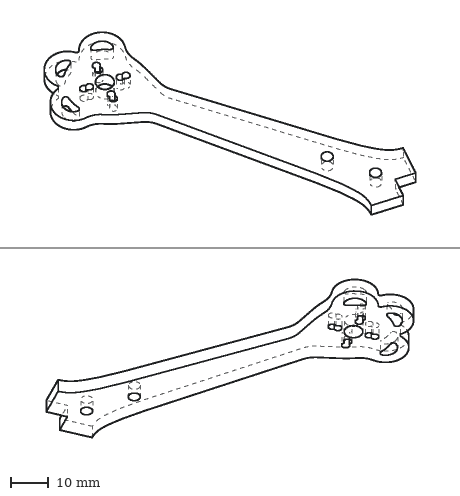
import cadquery as cq
import math

overall_length = 81.5
thickness = 4.0

lobe_radius = 6.2
lobe_distance = 10.75
rear_angle = 225
lobe_spacing = 63
lobe_angles = [rear_angle - lobe_spacing, rear_angle, rear_angle + lobe_spacing]
lobe_notch_radius = 0.65

window_radius = 3.2
window_inner_radius = 11.1
window_corner_radius = 0.8

shaft_diameter = 5.0
screw_diameter = 2.1
screw_distances = [4.4, 6.0]
screw_angles = [0, 90, 180, 270]

lobe_reach = lobe_radius - lobe_distance * math.cos(math.radians(lobe_angles[0]))
tip_reach = overall_length - lobe_reach
tip_inner = 50.0
tip_notch = 59.1
mount_hole_diameter = 3.2
mount_hole_places = [45.3, 55.15]

flare_end = (tip_reach, tip_inner)
flare_points = [(58.9, 48.0), (54.75, 45.0)]
arm_outer = (49.8, 40.65)
arm_inner = (15.4, 8.7)
arm_direction = (arm_inner[0] - arm_outer[0], arm_inner[1] - arm_outer[1])
neck_bend_end = (13.4, 5.4)
shoulder_start = (11.65, -0.5)
shoulder_end = (10.0, -4.65)
lobe_blend_angle = 11


def polar(radius, angle):
    """Offset at a radius and an angle in degrees."""
    turn = math.radians(angle)
    return radius * math.cos(turn), radius * math.sin(turn)


def toward(start, end, distance):
    """Point at a distance from start on the way to end."""
    share = distance / math.dist(start, end)
    return start[0] + share * (end[0] - start[0]), start[1] + share * (end[1] - start[1])


def cylinder(place, diameter):
    return cq.Workplane("XY").center(*place).circle(diameter / 2).extrude(thickness)


def half_plate():
    """Half of the plate on the +X side of the diagonal."""
    rear_center = polar(lobe_distance, rear_angle)
    side_angle = lobe_angles[2]
    side_center = polar(lobe_distance, side_angle)

    half_spacing = math.radians(lobe_spacing / 2)
    half_gap = lobe_distance * math.sin(half_spacing)
    center_reach = math.sqrt((lobe_radius + lobe_notch_radius) ** 2 - half_gap ** 2)
    notch_distance = lobe_distance * math.cos(half_spacing) + center_reach
    notch_angle = rear_angle + lobe_spacing / 2
    notch_center = polar(notch_distance, notch_angle)
    notch_bottom = polar(notch_distance - lobe_notch_radius, notch_angle)

    start_offset = polar(lobe_radius, lobe_blend_angle)
    lobe_start = (side_center[0] + start_offset[0], side_center[1] + start_offset[1])
    lobe_far = polar(lobe_distance + lobe_radius, side_angle)
    side_notch_end = toward(side_center, notch_center, lobe_radius)
    rear_notch_end = toward(rear_center, notch_center, lobe_radius)
    rear_end = polar(lobe_distance + lobe_radius, rear_angle)
    rear_mid_aim = ((rear_notch_end[0] + rear_end[0]) / 2, (rear_notch_end[1] + rear_end[1]) / 2)
    rear_mid = toward(rear_center, rear_mid_aim, lobe_radius)

    return (
        cq.Workplane("XY")
        .moveTo(tip_notch, tip_notch)
        .lineTo(tip_reach, tip_notch)
        .lineTo(*flare_end)
        .spline([*flare_points, arm_outer], tangents=[(-1, 0), arm_direction], includeCurrent=True)
        .lineTo(*arm_inner)
        .tangentArcPoint(neck_bend_end, relative=False)
        .lineTo(*shoulder_start)
        .tangentArcPoint(shoulder_end, relative=False)
        .tangentArcPoint(lobe_start, relative=False)
        .threePointArc(lobe_far, side_notch_end)
        .threePointArc(notch_bottom, rear_notch_end)
        .threePointArc(rear_mid, rear_end)
        .close()
        .extrude(thickness)
    )


def full_plate():
    """Both halves, the second mirrored across the diagonal."""
    half = half_plate()
    diagonal_normal = cq.Vector(1, -1, 0)
    return half.union(half.mirror(diagonal_normal, (0, 0, 0))).clean()


def lobe_window(angle):
    """D-shaped window whose inner side follows a circle about the hub axis."""
    disc = cylinder(polar(lobe_distance, angle), 2 * window_radius)
    window = disc.cut(cylinder((0, 0), 2 * window_inner_radius))
    return window.edges("|Z").fillet(window_corner_radius)


def make_motor_arm():
    arm = full_plate()
    arm = arm.cut(cylinder((0, 0), shaft_diameter))
    for angle in screw_angles:
        for distance in screw_distances:
            arm = arm.cut(cylinder(polar(distance, angle), screw_diameter))
    for angle in lobe_angles:
        arm = arm.cut(lobe_window(angle))
    for place in mount_hole_places:
        arm = arm.cut(cylinder((place, place), mount_hole_diameter))
    return arm


motor_arm = make_motor_arm()

result = cq.Compound.makeCompound([motor_arm.solids().val()])